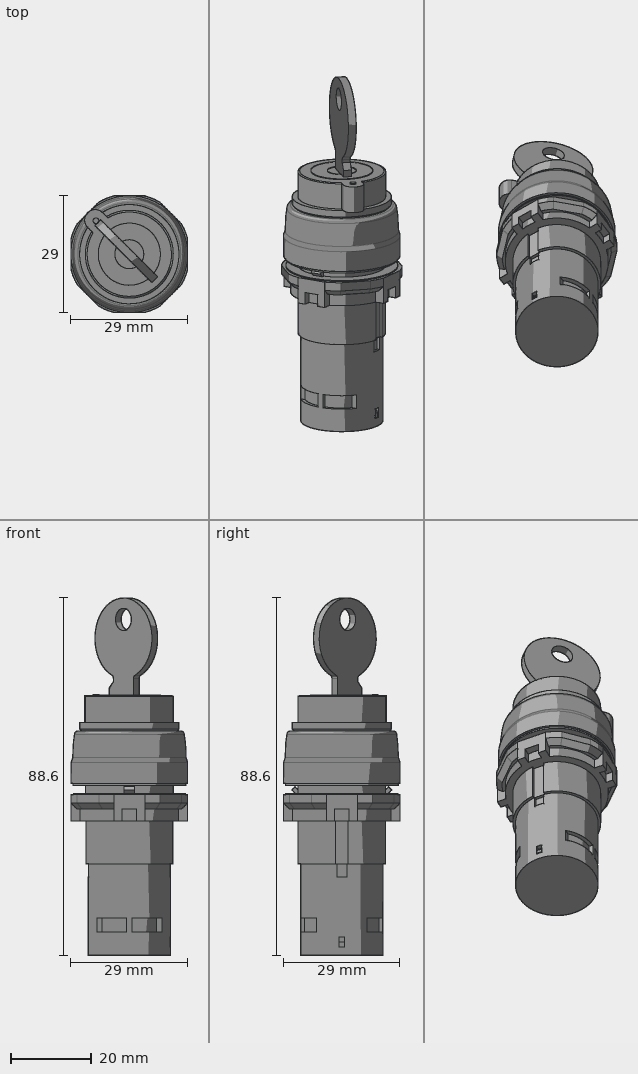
import cadquery as cq
import math

total_height = 88.6
shoulder_z = 22.7
nut_z = 33.3
flange_z = 36.3
octagon_z = 37.7
octagon_top_z = 39.9
nut_top_z = 40.1
bezel_z = 42.1
bezel_band_z = 42.6
bezel_band_top_z = 47.75
grip_z = 49.0
bezel_top_z = 55.6
collar_edge_z = 56.1
collar_top_z = 57.8
knob_top_z = 64.4

rear_diameter = 20.5
main_diameter = 21.8
nut_ring_diameter = 25.5
nut_lip_diameter = 27.8
bezel_lip_diameter = 28.0
outer_size = 29.0
collar_diameter = 24.6
rear_radius = rear_diameter / 2
main_radius = main_diameter / 2

octagon_round_diameter = 29.9
tab_width = 7.7
tab_notch_width = 3.6

grip_bottom_radius = 14.1
grip_middle_radius = 14.0
grip_top_radius = 13.6
bezel_corner_radius = 0.9

hook_width = 2.7
hook_root_radius = 10.2
hook_root_z = 40.4
hook_reach = 1.4
hook_thickness = 0.8

window_z = 5.85
window_top_z = 9.3
window_depth = 1.0
window_rib_width = 1.4
window_end_y = 6.3
groove_width = 3.0
groove_depth = 0.8
keyway_width = 2.5
keyway_z = 19.5
catch_width = 1.4
catch_z = 2.1
catch_middle_z = 3.4
catch_top_z = 4.6
catch_shallow = 0.3
catch_deep = 1.1

knob_chamfer_height = 0.2
knob_chamfer_width = 0.4
lever_angle = 135.0
lever_width = 5.2
lever_tip_centre = 12.0
pointer_diameter = 1.4
pointer_centre = 11.7
pointer_height = 0.3
face_diameter = 15.4
face_height = 0.2
plug_diameter = 7.2
key_thickness = 2.0
bow_radius = 10.0
bow_offset = 1.1
key_hole_diameter = 5.5
key_hole_z = 83.3
stem_inner = -2.5
stem_narrow = 4.6
stem_wide = 6.0
stem_step_z = 66.3
stem_step_top_z = 67.9
stem_fillet = 0.9


def disc(diameter, bottom, top):
    return cq.Workplane("XY").workplane(offset=bottom).circle(diameter / 2).extrude(top - bottom)


def block(x0, x1, y0, y1, z0, z1):
    return cq.Workplane("XY").box(x1 - x0, y1 - y0, z1 - z0, centered=False).translate((x0, y0, z0))


def around(shape, count):
    """Combine evenly spaced copies of a shape turned about Z."""
    copies = shape
    for i in range(1, count):
        copies = copies.union(shape.rotate((0, 0, 0), (0, 0, 1), 360 / count * i))
    return copies


def make_body():
    front = disc(main_diameter, shoulder_z, knob_top_z)
    front = front.faces(">Z").chamfer(knob_chamfer_height, knob_chamfer_width)
    body = disc(rear_diameter, 0, shoulder_z).union(front)

    ring = disc(rear_diameter + 0.9, window_z, window_top_z)
    ring = ring.cut(disc(rear_diameter - 2 * window_depth, window_z, window_top_z))
    window = ring.intersect(
        block(window_rib_width / 2, rear_radius, -rear_diameter, -window_end_y, window_z, window_top_z)
    )
    windows = window.union(window.mirror("YZ"))
    body = body.cut(around(windows, 2))

    groove = block(main_radius - groove_depth, main_diameter, -groove_width / 2, groove_width / 2,
                   shoulder_z, nut_z)
    keyway = block(rear_radius - groove_depth, rear_diameter, -keyway_width / 2, keyway_width / 2,
                   keyway_z, shoulder_z)
    catch = (
        cq.Workplane("XZ")
        .polyline([
            (rear_diameter, catch_z),
            (rear_radius - catch_shallow, catch_z),
            (rear_radius - catch_shallow, catch_middle_z),
            (rear_radius - catch_deep, catch_top_z),
            (rear_diameter, catch_top_z),
        ])
        .close()
        .extrude(catch_width / 2, both=True)
    )
    return body.cut(around(groove.union(keyway).union(catch), 2))


def make_nut():
    half_size = outer_size / 2
    square = block(-half_size, half_size, -half_size, half_size, flange_z, octagon_top_z)
    octagon = square.intersect(square.rotate((0, 0, 0), (0, 0, 1), 45))
    flange = octagon.intersect(disc(octagon_round_diameter, flange_z, octagon_top_z))
    flange = flange.faces("<Z").chamfer(octagon_z - flange_z)

    tab = block(main_radius, half_size, -tab_width / 2, tab_width / 2, nut_z, octagon_top_z)
    notch = block(main_radius, outer_size, -tab_notch_width / 2, tab_notch_width / 2, nut_z, flange_z)
    nut = flange.union(around(tab.cut(notch), 4))
    nut = nut.union(disc(nut_ring_diameter, nut_z, flange_z))
    return nut.union(disc(nut_lip_diameter, octagon_top_z, nut_top_z))


def make_hooks():
    tip_radius = hook_root_radius + hook_reach
    tip_z = hook_root_z + hook_reach
    hook = (
        cq.Workplane("YZ")
        .polyline([
            (hook_root_radius, hook_root_z),
            (tip_radius, tip_z),
            (tip_radius + hook_thickness, tip_z - hook_thickness),
            (hook_root_radius + hook_thickness, hook_root_z - hook_thickness),
        ])
        .close()
        .extrude(hook_width / 2, both=True)
    )
    return around(hook, 2)


def make_bezel():
    corner_z = bezel_top_z - bezel_corner_radius
    grip_middle_z = (grip_z + corner_z) / 2
    arc_share = bezel_corner_radius * (1 - math.sqrt(0.5))
    return (
        cq.Workplane("XZ")
        .moveTo(0, bezel_z)
        .lineTo(bezel_lip_diameter / 2, bezel_z)
        .lineTo(bezel_lip_diameter / 2, bezel_band_z)
        .lineTo(outer_size / 2, bezel_band_z)
        .lineTo(outer_size / 2, bezel_band_top_z)
        .lineTo(grip_bottom_radius, grip_z)
        .threePointArc((grip_middle_radius, grip_middle_z), (grip_top_radius, corner_z))
        .threePointArc((grip_top_radius - arc_share, bezel_top_z - arc_share),
                       (grip_top_radius - bezel_corner_radius, bezel_top_z))
        .lineTo(0, bezel_top_z)
        .close()
        .revolve(360, (0, 0, 0), (0, 1, 0))
    )


def make_collar():
    collar = disc(collar_diameter, bezel_top_z, collar_top_z)
    return collar.faces("<Z").chamfer(collar_edge_z - bezel_top_z)


def make_lever():
    height = knob_top_z - collar_top_z
    arm = block(0, lever_tip_centre, -lever_width / 2, lever_width / 2, collar_top_z, knob_top_z)
    tip = cq.Workplane("XY").workplane(offset=collar_top_z).center(lever_tip_centre, 0)
    tip = tip.circle(lever_width / 2).extrude(height)
    pointer = disc(pointer_diameter, knob_top_z, knob_top_z + pointer_height)
    return arm.union(tip).union(pointer.translate((pointer_centre, 0, 0)))


def make_key():
    bow_z = total_height - bow_radius
    half = key_thickness / 2
    bow = cq.Workplane("XZ").center(bow_offset, bow_z).circle(bow_radius).extrude(half, both=True)
    stem = (
        cq.Workplane("XZ")
        .polyline([
            (stem_inner, knob_top_z),
            (stem_wide, knob_top_z),
            (stem_wide, stem_step_z),
            (stem_narrow, stem_step_top_z),
            (stem_narrow, bow_z),
            (stem_inner, bow_z),
        ])
        .close()
        .extrude(half, both=True)
    )
    hole = cq.Workplane("XZ").center(bow_offset, key_hole_z).circle(key_hole_diameter / 2)
    blank = bow.union(stem)
    corners = blank.edges("|Y").edges(
        cq.selectors.BoxSelector(
            (-bow_radius, -key_thickness, stem_step_top_z + stem_fillet),
            (bow_radius, key_thickness, bow_z),
        )
    )
    blank = corners.fillet(stem_fillet)
    return blank.cut(hole.extrude(key_thickness, both=True))


face_top_z = knob_top_z + face_height
raised_ring = disc(face_diameter, knob_top_z, face_top_z).cut(disc(plug_diameter, knob_top_z, face_top_z))
turned_parts = make_lever().union(make_key()).rotate((0, 0, 0), (0, 0, 1), lever_angle)

result = (
    make_body()
    .union(make_nut())
    .union(make_hooks())
    .union(make_bezel())
    .union(make_collar())
    .union(raised_ring)
    .union(turned_parts)
)